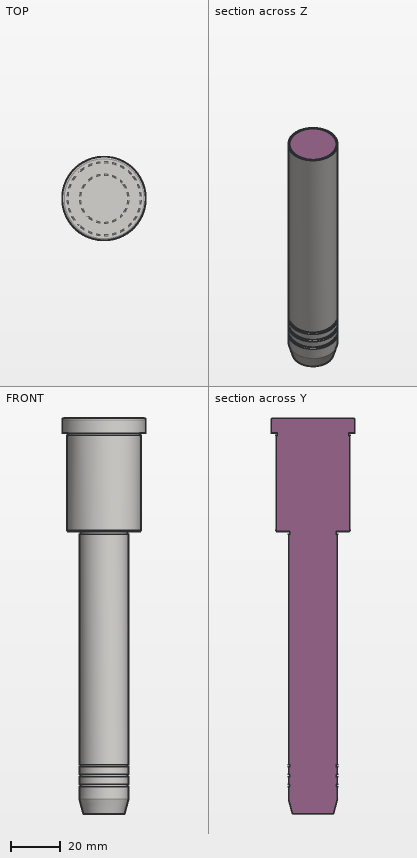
import cadquery as cq
import math

total_length = 160.0
head_height = 6.0
sleeve_bottom = 114.0
head_bottom = total_length - head_height

head_diameter = 34.0
sleeve_diameter = 30.0
pin_diameter = 20.0

head_fillet = 0.8
sleeve_chamfer = 0.5

undercut_height = 1.0
undercut_depth = 0.5

groove_count = 3
groove_pitch = 4.0
lowest_groove_center = 11.5
groove_radius = 0.5

taper_height = 6.0
taper_angle = 15.0
tip_fillet = 0.5


def cylinder(diameter, bottom, top):
    """Solid cylinder on the Z axis between two heights."""
    return cq.Workplane("XY").workplane(offset=bottom).circle(diameter / 2).extrude(top - bottom)


def ring_cut(diameter, depth, bottom, height):
    """Ring that cuts a square groove of the given depth into a cylinder."""
    inner_diameter = diameter - 2 * depth
    outer = cylinder(diameter, bottom, bottom + height)
    return outer.cut(cylinder(inner_diameter, bottom, bottom + height))


def round_ring(diameter, center_height):
    """Torus centered on a cylinder's surface, which cuts a half-round groove."""
    section = cq.Workplane("XZ").center(diameter / 2, center_height).circle(groove_radius)
    return section.revolve(360, (-diameter / 2, 0), (-diameter / 2, 1))


def make_pin():
    """Pin with a tapered, rounded tip and evenly spaced oil grooves."""
    pin_radius = pin_diameter / 2
    tip_radius = pin_radius - taper_height * math.tan(math.radians(taper_angle))
    profile = [
        (0, 0),
        (tip_radius, 0),
        (pin_radius, taper_height),
        (pin_radius, sleeve_bottom),
        (0, sleeve_bottom),
    ]
    pin = cq.Workplane("XZ").polyline(profile).close().revolve(360, (0, 0), (0, 1))
    pin = pin.faces("<Z").edges().fillet(tip_fillet)

    for index in range(groove_count):
        groove_center = lowest_groove_center + index * groove_pitch
        pin = pin.cut(round_ring(pin_diameter, groove_center))

    undercut_bottom = sleeve_bottom - undercut_height
    return pin.cut(ring_cut(pin_diameter, undercut_depth, undercut_bottom, undercut_height))


def make_sleeve():
    """Sleeve with a chamfered lower rim and an undercut below the head."""
    sleeve = cylinder(sleeve_diameter, sleeve_bottom, head_bottom)
    sleeve = sleeve.faces("<Z").edges().chamfer(sleeve_chamfer)
    undercut_bottom = head_bottom - undercut_height
    return sleeve.cut(ring_cut(sleeve_diameter, undercut_depth, undercut_bottom, undercut_height))


def make_head():
    """Flat head with a rounded top rim."""
    head = cylinder(head_diameter, head_bottom, total_length)
    return head.faces(">Z").edges().fillet(head_fillet)


result = make_pin().union(make_sleeve()).union(make_head())